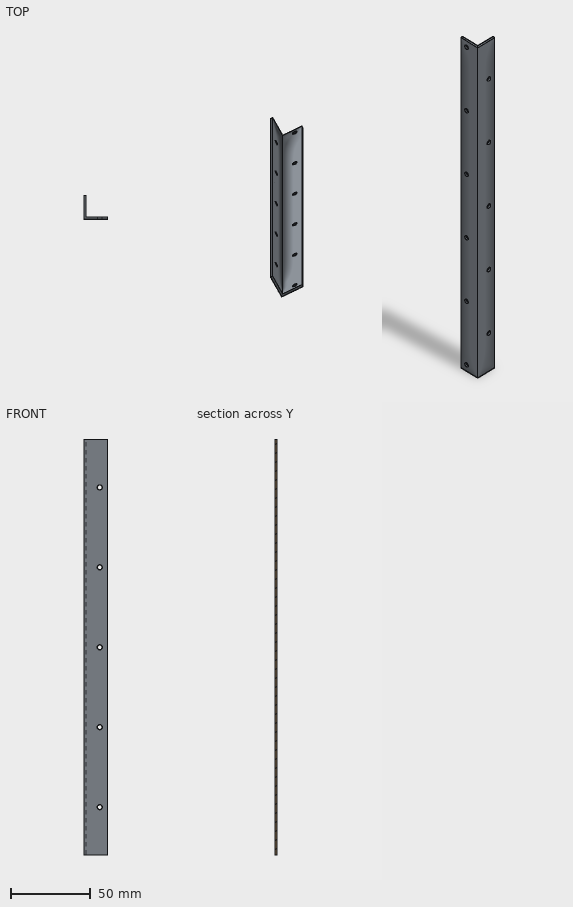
import cadquery as cq

leg_width = 15.0
thickness = 1.5
length = 260.0

hole_diameter = 3.0
hole_offset = 10.0
hole_pitch = 50.0
x_leg_hole_count = 5
y_leg_hole_count = 6


def angle_bar():
    """L-shaped profile extruded to full length."""
    profile = [
        (0, 0),
        (leg_width, 0),
        (leg_width, thickness),
        (thickness, thickness),
        (thickness, leg_width),
        (0, leg_width),
    ]
    return cq.Workplane("XY").polyline(profile).close().extrude(length)


def hole_heights(count):
    """Z positions of a row of holes centred on the bar's length."""
    first = (length - (count - 1) * hole_pitch) / 2
    return [first + i * hole_pitch for i in range(count)]


def hole_row(plane_name, count, depth):
    """Row of hole cutters; depth is signed along the plane's normal."""
    centres = [(hole_offset, z) for z in hole_heights(count)]
    return cq.Workplane(plane_name).pushPoints(centres).circle(hole_diameter / 2).extrude(depth)


x_leg_holes = hole_row("XZ", x_leg_hole_count, -thickness)
y_leg_holes = hole_row("YZ", y_leg_hole_count, thickness)

result = angle_bar().cut(x_leg_holes).cut(y_leg_holes)